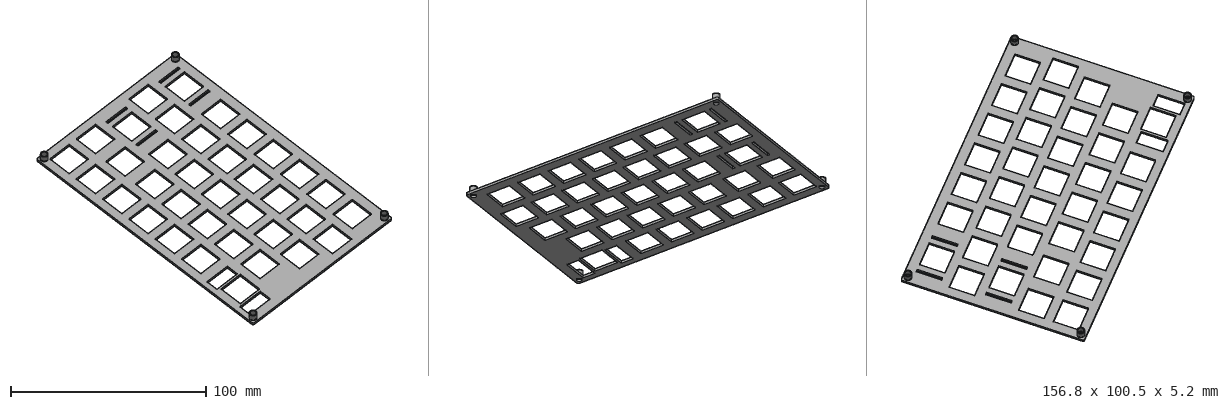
import cadquery as cq

plate_length = 156.8
plate_width = 100.5
plate_thickness = 1.5
corner_radius = 1.0

double_pitch = 38.1
key_pitch = double_pitch / 2
switch_size = 14.0
columns = 8
rows = 5
grid_shift_x = 0.2
grid_shift_y = -0.3
first_column_x = -(columns - 1) / 2 * key_pitch + grid_shift_x
top_row_y = (rows - 1) / 2 * key_pitch + grid_shift_y

wide_key_column = 3 / 8
after_wide_key = 7 / 4
stagger_column = 9 / 8
after_stagger = 9 / 4
double_key_column = 13 / 2
wide_key_row = [wide_key_column] + [after_wide_key + step for step in range(6)]
full_row = list(range(columns))
staggered_row = [0, stagger_column] + [after_stagger + step for step in range(5)]
bottom_row = list(range(6)) + [double_key_column]
key_rows = [wide_key_row, full_row, wide_key_row, staggered_row, bottom_row]
wide_key_rows = [0, 2]
double_key_row = rows - 1

slot_width = 1.4
slot_offset = 10.8

stabilizer_width = 7.2
stabilizer_length = 14.7
stabilizer_offset = 11.9
stabilizer_drop = 1.3

total_height = 5.2
standoff_height = total_height - plate_thickness
standoff_diameter = 4.0
bore_diameter = 3.0
standoff_inset = 2.8
standoff_x = plate_length / 2 - standoff_inset
standoff_y = plate_width / 2 - standoff_inset
standoff_places = [(x, y) for x in (-standoff_x, standoff_x) for y in (-standoff_y, standoff_y)]


def key_center(column, row):
    """Centre of a key, columns counted rightwards and rows downwards."""
    return (first_column_x + column * key_pitch, top_row_y - row * key_pitch)


def beside(center, offset, drop=0.0):
    """Two points left and right of a centre, optionally lowered."""
    x, y = center
    return [(x - offset, y - drop), (x + offset, y - drop)]


def window_cutter(places, width, length):
    """Rectangular prisms through the plate thickness at the given places."""
    return cq.Workplane("XY").pushPoints(places).rect(width, length).extrude(plate_thickness)


def make_plate():
    """Rounded plate with switch windows, slots, stabilizer cutouts and screw holes."""
    blank = cq.Workplane("XY").rect(plate_length, plate_width).extrude(plate_thickness)
    blank = blank.edges("|Z").fillet(corner_radius)

    switch_places = [
        key_center(column, row)
        for row, key_columns in enumerate(key_rows)
        for column in key_columns
    ]
    slot_places = [
        place
        for row in wide_key_rows
        for place in beside(key_center(wide_key_column, row), slot_offset)
    ]
    double_key = key_center(double_key_column, double_key_row)
    stabilizer_places = beside(double_key, stabilizer_offset, stabilizer_drop)

    screw_holes = (
        cq.Workplane("XY").pushPoints(standoff_places).circle(bore_diameter / 2).extrude(plate_thickness)
    )
    return (
        blank
        .cut(window_cutter(switch_places, switch_size, switch_size))
        .cut(window_cutter(slot_places, slot_width, switch_size))
        .cut(window_cutter(stabilizer_places, stabilizer_width, stabilizer_length))
        .cut(screw_holes)
    )


def make_standoff(x, y):
    """Tubular standoff resting on the top face of the plate."""
    return (
        cq.Workplane("XY", origin=(x, y, plate_thickness))
        .circle(standoff_diameter / 2)
        .circle(bore_diameter / 2)
        .extrude(standoff_height)
    )


plate = make_plate()
standoffs = [make_standoff(x, y) for x, y in standoff_places]

result = cq.Compound.makeCompound([plate.val(), *[standoff.val() for standoff in standoffs]])